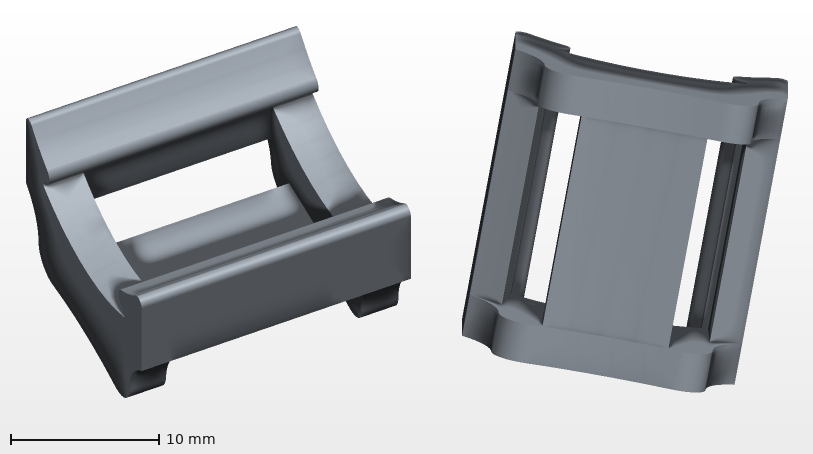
import cadquery as cq
import math

length = 20.0
half_width = 18.7 / 2
height = 12.85

bowl_bottom_z = 6.92
bowl_radius = 14.0
cradle_axis_z = bowl_bottom_z + bowl_radius
flank_radius = 11.8

tip_radius = 0.52
lip_top_x = 5.95
lip_nose = (5.58, 10.0)
lip_bottom = (5.9, 9.4)
notch_top = (6.4, 8.98)
notch_deepest = (6.55, 8.7)
notch_end_x = 6.48

side_bottom_z = 5.95
foot_half_width = 7.35
foot_radius = 1.98
underside_rise = 0.45

draft_angle = 2.0
end_wall_base = 2.65
cavity_half_width = 7.3
bridge_half_width = 4.32
bridge_top_z = 3.0
bridge_edge_z = 0.22
bridge_middle_z = 0.52
side_panel_bottom_z = 4.72
panel_underside_bow = 0.02


def cradle_z(x, radius):
    """Height of a cradle arc at a distance x from the middle."""
    return cradle_axis_z - math.sqrt(radius**2 - x**2)


def mirrored(point):
    return (-point[0], point[1])


def profile_arcs():
    """Right half of the outline, bowl middle to underside middle, as (via, end); via None is a line."""
    tip_center_x = half_width - tip_radius
    tip_center_z = height - tip_radius
    tip_offset = tip_radius * math.sqrt(0.5)
    tip_inner_x = tip_center_x - tip_offset
    tip_inner = (tip_inner_x, cradle_z(tip_inner_x, flank_radius))
    flank_mid_x = (lip_top_x + tip_inner_x) / 2

    side_in = half_width - foot_half_width
    side_drop = side_bottom_z - foot_radius
    side_radius = (side_in**2 + side_drop**2) / (2 * side_in)
    side_half_angle = math.asin(side_drop / side_radius) / 2
    side_mid = (
        foot_half_width + side_radius * (1 - math.cos(side_half_angle)),
        foot_radius + side_radius * math.sin(side_half_angle),
    )

    foot_x = foot_half_width - foot_radius
    under_radius = (foot_x**2 + underside_rise**2) / (2 * underside_rise) - foot_radius
    under_angle = math.asin(foot_x / (under_radius + foot_radius))
    under_center_z = underside_rise - under_radius

    def under_point(angle):
        return (under_radius * math.sin(angle), under_center_z + under_radius * math.cos(angle))

    foot_mid = (foot_x + foot_radius * math.sqrt(0.5), foot_radius * (1 - math.sqrt(0.5)))
    notch_end = (notch_end_x, cradle_z(notch_end_x, bowl_radius))
    bowl_mid_x = notch_end_x / 2

    return [
        ((bowl_mid_x, cradle_z(bowl_mid_x, bowl_radius)), notch_end),
        (notch_deepest, notch_top),
        (None, lip_bottom),
        (lip_nose, (lip_top_x, cradle_z(lip_top_x, flank_radius))),
        ((flank_mid_x, cradle_z(flank_mid_x, flank_radius)), tip_inner),
        (None, (tip_inner_x, tip_center_z + tip_offset)),
        ((tip_center_x, height), (half_width, tip_center_z)),
        (None, (half_width, side_bottom_z)),
        (side_mid, (foot_half_width, foot_radius)),
        (foot_mid, under_point(under_angle)),
        (under_point(under_angle / 2), (0, underside_rise)),
    ]


def add_segment(sketch, via, end):
    if via is None:
        return sketch.lineTo(*end)
    return sketch.threePointArc(via, end)


def make_body():
    """Full outline extruded along Y."""
    start = (0, bowl_bottom_z)
    arcs = profile_arcs()
    sketch = cq.Workplane("XZ").moveTo(*start)
    for via, end in arcs:
        sketch = add_segment(sketch, via, end)
    starts = [start] + [end for _, end in arcs[:-1]]
    for (via, _), end in zip(reversed(arcs), reversed(starts)):
        sketch = add_segment(sketch, mirrored(via) if via else None, mirrored(end))
    return sketch.close().extrude(length).translate((0, length / 2, 0))


def make_bridge():
    """Block between the end walls, with a shallow arched underside."""
    return (
        cq.Workplane("XZ")
        .moveTo(-bridge_half_width, bridge_edge_z)
        .threePointArc((0, bridge_middle_z), (bridge_half_width, bridge_edge_z))
        .lineTo(bridge_half_width, bridge_top_z)
        .lineTo(-bridge_half_width, bridge_top_z)
        .close()
        .extrude(length)
        .translate((0, length / 2, 0))
    )


def make_windows(cavity_length):
    """Side openings below the panels; each panel underside is arched and slopes down inwards."""
    draft = math.tan(math.radians(draft_angle))
    top_half_length = cavity_length / 2 - side_bottom_z * draft
    drafted_block = (
        cq.Workplane("YZ")
        .polyline([
            (-cavity_length / 2, 0),
            (cavity_length / 2, 0),
            (top_half_length, side_bottom_z),
            (-top_half_length, side_bottom_z),
        ])
        .close()
        .extrude(2 * half_width)
        .translate((-half_width, 0, 0))
    )
    inner = (cavity_half_width - side_panel_bottom_z * draft, side_panel_bottom_z)
    outer = (half_width, side_bottom_z)
    middle = (
        (inner[0] + outer[0]) / 2,
        (inner[1] + outer[1]) / 2 + panel_underside_bow,
    )
    opening = (
        cq.Workplane("XZ")
        .moveTo(-half_width, 0)
        .lineTo(half_width, 0)
        .lineTo(*outer)
        .threePointArc(middle, inner)
        .lineTo(*mirrored(inner))
        .threePointArc(mirrored(middle), mirrored(outer))
        .close()
        .extrude(length)
        .translate((0, length / 2, 0))
    )
    return drafted_block.intersect(opening)


def make_cavity():
    """Opening between the end walls, narrowing upwards and open through both sides."""
    cavity_length = length - 2 * end_wall_base
    cavity = (
        cq.Workplane("XY")
        .rect(2 * cavity_half_width, cavity_length)
        .extrude(notch_deepest[1], taper=draft_angle)
    )
    return cavity.union(make_windows(cavity_length)).cut(make_bridge())


result = make_body().cut(make_cavity())